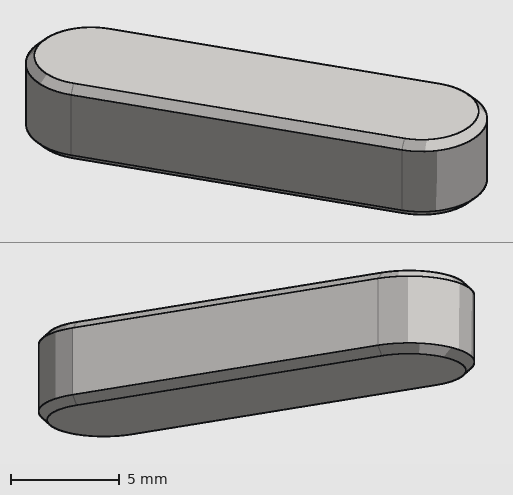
import cadquery as cq

length = 22.0
width = 6.0
height = 4.0
edge_chamfer = 0.4

body = cq.Workplane("XY").slot2D(length, width).extrude(height / 2, both=True)

result = body.faces("<Z or >Z").chamfer(edge_chamfer)